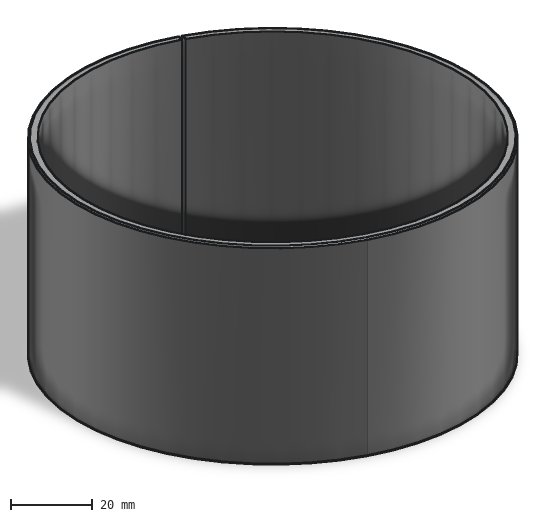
import cadquery as cq

outer_diameter = 120.0
height = 60.0
wall = 2.4
slit_width = 1.0
edge_chamfer = 0.5

outer_radius = outer_diameter / 2
inner_radius = outer_radius - wall


def chamfered_sleeve():
    """Thin-walled sleeve with the outer edge of both rims bevelled."""
    body = cq.Workplane("XY").circle(outer_radius).extrude(height)
    body = body.faces("<Z or >Z").edges().chamfer(edge_chamfer)
    bore = cq.Workplane("XY").circle(inner_radius).extrude(height)
    return body.cut(bore)


def slit_cutter():
    """Full-height box through the -X wall, with one side on the XZ plane."""
    radial_length = 2 * wall
    return (
        cq.Workplane("XY")
        .box(radial_length, slit_width, height, centered=(True, False, False))
        .translate((-(inner_radius + outer_radius) / 2, 0, 0))
    )


result = chamfered_sleeve().cut(slit_cutter())